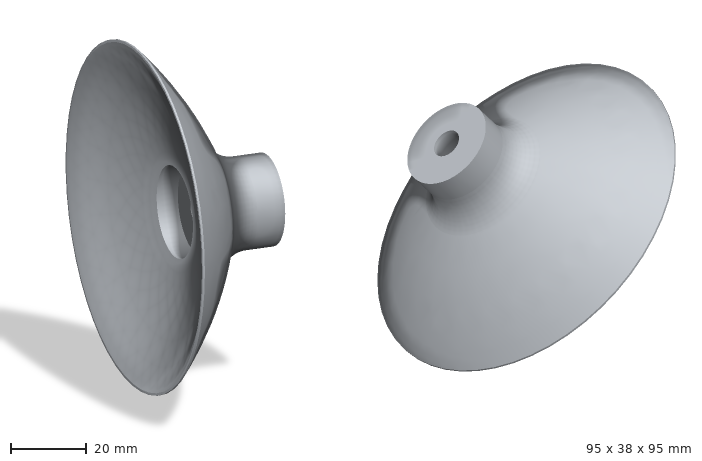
import cadquery as cq
import math

height = 38.0
rim_radius = 47.5
lip_width = 0.7
rim_band = 0.6
neck_radius = 12.5
neck_length = 8.0
shoulder_radius = 18.1
shoulder_y = 20.9
flare_bulge = 1.5
outer_bulge = 1.4
inner_bulge = 1.9
recess_radius = neck_radius
recess_mouth_y = 11.6
recess_floor_y = 17.7
bore_radius = 4.0


def arc_middle(start, end, bulge):
    """Middle of an arc, offset to the left of the start-to-end chord."""
    dx = end[0] - start[0]
    dy = end[1] - start[1]
    chord = math.hypot(dx, dy)
    mid_x = (start[0] + end[0]) / 2
    mid_y = (start[1] + end[1]) / 2
    return (mid_x - bulge * dy / chord, mid_y + bulge * dx / chord)


neck_end = (neck_radius, height - neck_length)
shoulder = (shoulder_radius, shoulder_y)
rim_edge = (rim_radius, rim_band)
lip_inner = (rim_radius - lip_width, 0)
recess_mouth = (recess_radius, recess_mouth_y)

half_section = (
    cq.Workplane("XY")
    .moveTo(bore_radius, height)
    .lineTo(neck_radius, height)
    .lineTo(*neck_end)
    .threePointArc(arc_middle(neck_end, shoulder, -flare_bulge), shoulder)
    .threePointArc(arc_middle(shoulder, rim_edge, outer_bulge), rim_edge)
    .lineTo(rim_radius, 0)
    .lineTo(*lip_inner)
    .threePointArc(arc_middle(lip_inner, recess_mouth, -inner_bulge), recess_mouth)
    .lineTo(recess_radius, recess_floor_y)
    .lineTo(bore_radius, recess_floor_y)
    .close()
)

result = half_section.revolve(360, (0, 0, 0), (0, 1, 0))